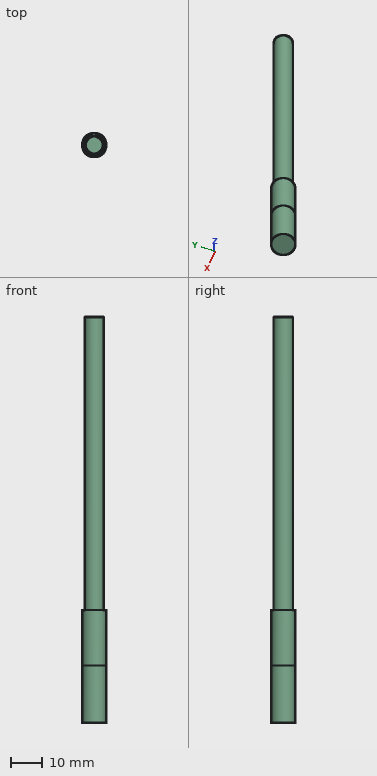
import cadquery as cq

total_length = 130.0
base_diameter = 7.8
rod_diameter = 6.2

joint_height = 18.3
shoulder_height = 36.0

tip_bevel = 0.4


def make_base():
    """Plain cylinder that carries the stepped rod."""
    return cq.Workplane("XY").circle(base_diameter / 2).extrude(joint_height)


def make_stepped_rod():
    """Collar as wide as the base, with a thinner rod rising to a bevelled tip."""
    collar = (
        cq.Workplane("XY")
        .workplane(offset=joint_height)
        .circle(base_diameter / 2)
        .extrude(shoulder_height - joint_height)
    )
    rod = (
        cq.Workplane("XY")
        .workplane(offset=shoulder_height)
        .circle(rod_diameter / 2)
        .extrude(total_length - shoulder_height)
        .faces(">Z")
        .chamfer(tip_bevel)
    )
    return collar.union(rod)


base = make_base()
stepped_rod = make_stepped_rod()

result = cq.Compound.makeCompound([base.val(), stepped_rod.val()])